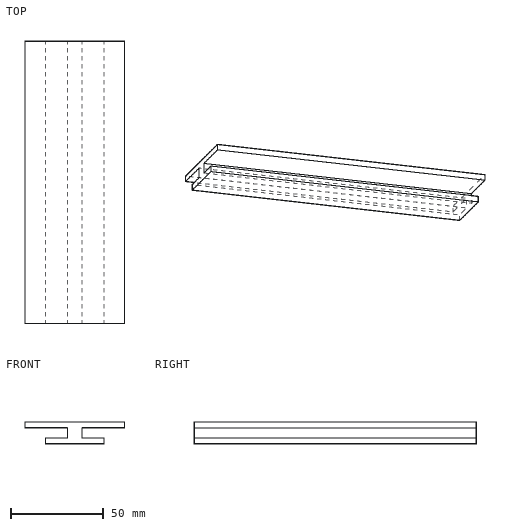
import cadquery as cq

length = 152.4
height = 11.9

top_flange_width = 54.0
bottom_flange_width = 31.7
web_width = 8.0
flange_thickness = 3.2


def centred_bar(width, bar_height, base_z):
    """Full-length rectangular bar, centred in X and Y, standing on base_z."""
    bar = cq.Workplane("XY").box(width, length, bar_height, centered=(True, True, False))
    return bar.translate((0, 0, base_z))


bottom_flange = centred_bar(bottom_flange_width, flange_thickness, 0)
web = centred_bar(web_width, height - 2 * flange_thickness, flange_thickness)
top_flange = centred_bar(top_flange_width, flange_thickness, height - flange_thickness)

result = bottom_flange.union(web).union(top_flange)